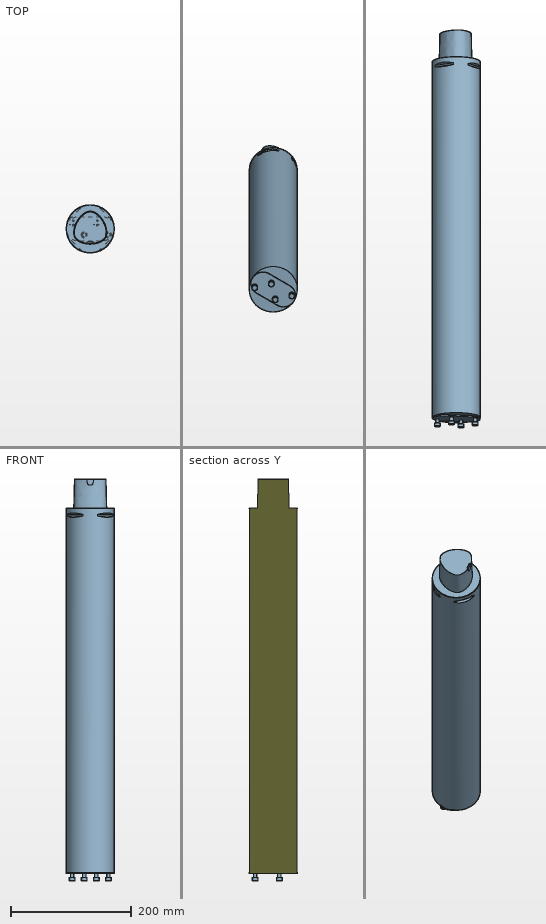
import cadquery as cq
import math

TOTAL_HEIGHT = 668.0
BODY_DIAMETER = 80.0
BODY_RADIUS = BODY_DIAMETER / 2
BODY_CHAMFER = 1.0

SHANK_HEIGHT = 48.0
SHANK_TOP_DIAMETER = 53.0
LOBE_OFFSET = 2.0
SHANK_TAPER = 1 / 20
SHANK_CURVE_POINTS = 48

NOTCH_DIAMETER = 10.0
NOTCH_CENTRE_DEPTH = 5.5
NOTCH_DEPTH = 3.0

SLOT_COUNT = 4
SLOT_FIRST_ANGLE = 45.0
SLOT_MOUTH_HEIGHT = 7.5
SLOT_MIDDLE_DROP = 12.0
SLOT_FLOOR_HEIGHT = 3.0
SLOT_DEPTH = 4.35

PAD_WIDTH = 40.0
PAD_HEIGHT = 2.0
PIN_COUNT = 4
PIN_PITCH = 20.0
PIN_NECK_DIAMETER = 6.0
PIN_NECK_HEIGHT = 7.0
PIN_HEAD_DIAMETER = 10.0
PIN_HEAD_HEIGHT = 5.5
PIN_HEAD_CHAMFER = 1.0

PAD_BOTTOM = PIN_HEAD_HEIGHT + PIN_NECK_HEIGHT
BODY_BOTTOM = PAD_BOTTOM + PAD_HEIGHT
BODY_TOP = TOTAL_HEIGHT - SHANK_HEIGHT


def cylinder(diameter, bottom, height):
    return cq.Workplane("XY").workplane(offset=bottom).circle(diameter / 2).extrude(height)


def shank_outline(mean_diameter):
    """Points of the three-lobed curve of constant width, with one lobe pointing to +Y."""
    points = []
    for step in range(SHANK_CURVE_POINTS):
        turn = 2 * math.pi * step / SHANK_CURVE_POINTS
        x_lobe = LOBE_OFFSET * (2 * math.sin(2 * turn) + math.sin(4 * turn))
        y_lobe = LOBE_OFFSET * (2 * math.cos(2 * turn) - math.cos(4 * turn))
        x = mean_diameter / 2 * math.sin(turn) - x_lobe
        y = mean_diameter / 2 * math.cos(turn) + y_lobe
        points.append((x, y))
    return points


def make_shank():
    base_diameter = SHANK_TOP_DIAMETER + SHANK_HEIGHT * SHANK_TAPER
    return (
        cq.Workplane("XY")
        .workplane(offset=BODY_TOP)
        .spline(shank_outline(base_diameter), periodic=True)
        .close()
        .workplane(offset=SHANK_HEIGHT)
        .spline(shank_outline(SHANK_TOP_DIAMETER), periodic=True)
        .close()
        .loft(ruled=True)
    )


def make_notch():
    flat_distance = SHANK_TOP_DIAMETER / 2 - LOBE_OFFSET
    centre_z = TOTAL_HEIGHT - NOTCH_CENTRE_DEPTH
    profile = cq.Workplane("XZ", origin=(0, NOTCH_DEPTH - flat_distance, centre_z))
    return (
        profile.moveTo(-NOTCH_DIAMETER / 2, NOTCH_CENTRE_DEPTH)
        .lineTo(-NOTCH_DIAMETER / 2, 0)
        .threePointArc((0, -NOTCH_DIAMETER / 2), (NOTCH_DIAMETER / 2, 0))
        .lineTo(NOTCH_DIAMETER / 2, NOTCH_CENTRE_DEPTH)
        .close()
        .extrude(BODY_RADIUS)
    )


def make_slot(angle):
    middle_z = BODY_TOP - SLOT_MIDDLE_DROP
    return (
        cq.Workplane("XZ")
        .moveTo(BODY_RADIUS - SLOT_DEPTH, middle_z - SLOT_FLOOR_HEIGHT / 2)
        .lineTo(BODY_RADIUS - SLOT_DEPTH, middle_z + SLOT_FLOOR_HEIGHT / 2)
        .lineTo(BODY_RADIUS, middle_z + SLOT_MOUTH_HEIGHT / 2)
        .lineTo(BODY_RADIUS, middle_z - SLOT_MOUTH_HEIGHT / 2)
        .close()
        .extrude(BODY_RADIUS, both=True)
        .rotate((0, 0, 0), (0, 0, 1), angle)
    )


def make_pad():
    return (
        cq.Workplane("XY")
        .workplane(offset=PAD_BOTTOM)
        .slot2D(BODY_DIAMETER, PAD_WIDTH)
        .extrude(PAD_HEIGHT)
    )


def make_pin():
    head = cylinder(PIN_HEAD_DIAMETER, 0, PIN_HEAD_HEIGHT)
    head = head.faces("<Z").chamfer(PIN_HEAD_CHAMFER)
    neck = cylinder(PIN_NECK_DIAMETER, PIN_HEAD_HEIGHT, PIN_NECK_HEIGHT)
    return head.union(neck)


result = cylinder(BODY_DIAMETER, BODY_BOTTOM, BODY_TOP - BODY_BOTTOM)
result = result.faces(">Z").chamfer(BODY_CHAMFER)
result = result.union(make_shank()).cut(make_notch())

for index in range(SLOT_COUNT):
    result = result.cut(make_slot(SLOT_FIRST_ANGLE + index * 360 / SLOT_COUNT))

result = result.union(make_pad())
for column in range(PIN_COUNT):
    pin_x = (column - (PIN_COUNT - 1) / 2) * PIN_PITCH
    pin_y = PIN_PITCH / 2 * (-1) ** column
    result = result.union(make_pin().translate((pin_x, pin_y, 0)))

result = result.translate((0, 0, -TOTAL_HEIGHT / 2))